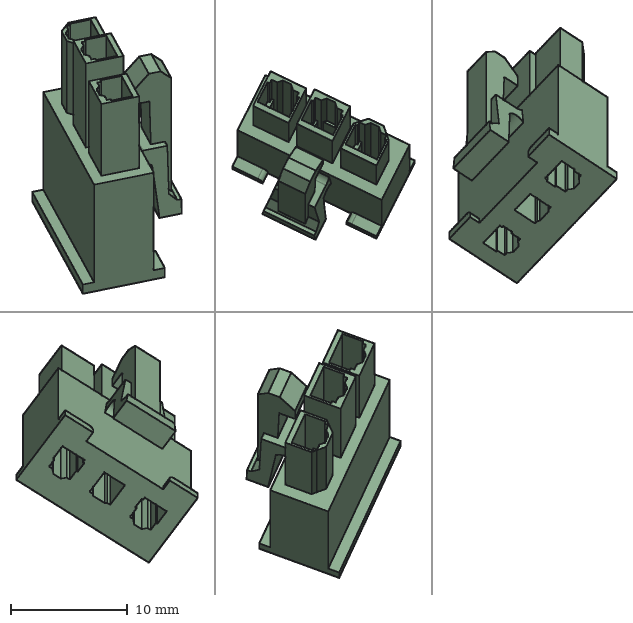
import cadquery as cq

WIDTH = 13.8
HEIGHT = 20.6

BODY_DEPTH = 5.4
BODY_TOP = 11.54
FLANGE_OVERHANG = 1.0
FLANGE_HEIGHT = 1.0
FLANGE_DEPTH = BODY_DEPTH + 2 * FLANGE_OVERHANG
FLANGE_GAP_WIDTH = 8.0
FLANGE_END_RADIUS = 0.5
BODY_BACK = BODY_DEPTH / 2

PITCH = 4.2
TOWER_SIDE = 3.4
SIDE_TOWER_TOP = 19.28
KEY_CHAMFER = 0.97

CAVITY_HALF_WIDTH = 1.5
CAVITY_BACK = 1.2
CAVITY_STEP_HALF_WIDTH = 1.3
CAVITY_STEP_Y = -0.72
CAVITY_FRONT = -1.07
GROOVE_HALF_WIDTH = 0.76
GROOVE_DEPTH = 0.37
CAVITY_FLOOR = BODY_TOP

PASSAGE_HALF_WIDTH = 1.07
PASSAGE_BACK = 1.15
MIDDLE_GROOVE_DEPTH = 0.15
RELIEF_HALF_WIDTH = 1.22
OUTER_RELIEF_FRONT = -0.29
INNER_RELIEF_FRONT = -0.08
INNER_RELIEF_BACK = 0.89

TAB_BACK = 6.7
TAB_BOTTOM = 3.0
TAB_TOP = 4.47
TAB_SLOPE_BACK = 6.32
TAB_FRONT = 4.65
TAB_FRONT_TOP = 3.3
ARM_BACK = 5.58
ARM_SLOPE_TOP = 5.25
ARM_TOP = 10.14
ARM_TOP_HALF_WIDTH = 1.92
ARM_BOTTOM_HALF_WIDTH = 2.55
BRIDGE_FLARE_LENGTH = 0.68
BRIDGE_FLARE_HEIGHT = 0.37
BRIDGE_FLARE_RADIUS = 0.8
ARCH_SPAN = 1.48
ARCH_RISE = 0.47
ARCH_TOP = 8.8

TONGUE_WIDTH = 2.6
TONGUE_BACK = 6.15
TONGUE_TOP = 17.8
TONGUE_BACK_CHAMFER = 0.97
TONGUE_LOWER_FRONT = 4.3
TONGUE_UPPER_FRONT = 4.18
HOOK_TOP_FRONT = 4.12
HOOK_SLOPE_BOTTOM = 16.27
HOOK_BOTTOM = 14.81
HOOK_CORNER_RADIUS = 0.12


def block(width, depth, bottom, top):
    """Box centred on the Z axis between two heights."""
    return cq.Workplane("XY").workplane(offset=bottom).rect(width, depth).extrude(top - bottom)


def prism(points, bottom, top):
    """Vertical prism over a closed XY outline."""
    return cq.Workplane("XY").workplane(offset=bottom).polyline(points).close().extrude(top - bottom)


def base_and_body():
    body = block(WIDTH, BODY_DEPTH, 0, BODY_TOP)
    flange = block(WIDTH, FLANGE_DEPTH, 0, FLANGE_HEIGHT)
    inner = FLANGE_GAP_WIDTH / 2
    shoulder = inner + FLANGE_END_RADIUS
    drop = FLANGE_HEIGHT - FLANGE_END_RADIUS
    gap = (
        cq.Workplane("XZ", origin=(0, FLANGE_DEPTH / 2, 0))
        .moveTo(-inner, 0)
        .lineTo(-inner, drop)
        .radiusArc((-shoulder, FLANGE_HEIGHT), -FLANGE_END_RADIUS)
        .lineTo(shoulder, FLANGE_HEIGHT)
        .radiusArc((inner, drop), -FLANGE_END_RADIUS)
        .lineTo(inner, 0)
        .close()
        .extrude(FLANGE_OVERHANG)
    )
    return body.union(flange.cut(gap))


def tower(top):
    return block(TOWER_SIDE, TOWER_SIDE, BODY_TOP, top)


def groove_points(depth):
    """Front wall of an opening, left to right, with its 45-degree-sided groove."""
    bottom_half_width = GROOVE_HALF_WIDTH - depth
    return [
        (-GROOVE_HALF_WIDTH, CAVITY_FRONT),
        (-bottom_half_width, CAVITY_FRONT - depth),
        (bottom_half_width, CAVITY_FRONT - depth),
        (GROOVE_HALF_WIDTH, CAVITY_FRONT),
    ]


def cavity():
    outline = [
        (-CAVITY_HALF_WIDTH, CAVITY_BACK),
        (-CAVITY_HALF_WIDTH, CAVITY_STEP_Y),
        (-CAVITY_STEP_HALF_WIDTH, CAVITY_STEP_Y),
        (-CAVITY_STEP_HALF_WIDTH, CAVITY_FRONT),
        *groove_points(GROOVE_DEPTH),
        (CAVITY_STEP_HALF_WIDTH, CAVITY_FRONT),
        (CAVITY_STEP_HALF_WIDTH, CAVITY_STEP_Y),
        (CAVITY_HALF_WIDTH, CAVITY_STEP_Y),
        (CAVITY_HALF_WIDTH, CAVITY_BACK),
    ]
    return prism(outline, CAVITY_FLOOR, HEIGHT)


def middle_passage():
    outline = [
        (-PASSAGE_HALF_WIDTH, PASSAGE_BACK),
        (-PASSAGE_HALF_WIDTH, CAVITY_FRONT),
        *groove_points(MIDDLE_GROOVE_DEPTH),
        (PASSAGE_HALF_WIDTH, CAVITY_FRONT),
        (PASSAGE_HALF_WIDTH, PASSAGE_BACK),
    ]
    return prism(outline, 0, CAVITY_FLOOR)


def left_passage():
    """Passage of the left tower, relieved on its outer (-X) and inner (+X) walls."""
    outline = [
        (-RELIEF_HALF_WIDTH, PASSAGE_BACK),
        (-RELIEF_HALF_WIDTH, OUTER_RELIEF_FRONT),
        (-PASSAGE_HALF_WIDTH, OUTER_RELIEF_FRONT),
        (-PASSAGE_HALF_WIDTH, CAVITY_FRONT),
        *groove_points(GROOVE_DEPTH),
        (PASSAGE_HALF_WIDTH, CAVITY_FRONT),
        (PASSAGE_HALF_WIDTH, INNER_RELIEF_FRONT),
        (RELIEF_HALF_WIDTH, INNER_RELIEF_FRONT),
        (RELIEF_HALF_WIDTH, INNER_RELIEF_BACK),
        (PASSAGE_HALF_WIDTH, INNER_RELIEF_BACK),
        (PASSAGE_HALF_WIDTH, PASSAGE_BACK),
    ]
    return prism(outline, 0, CAVITY_FLOOR)


def latch_arm():
    flare_top = ARM_TOP + BRIDGE_FLARE_HEIGHT
    arch_foot = ARCH_TOP - ARCH_RISE
    profile = (
        cq.Workplane("YZ", origin=(-ARM_BOTTOM_HALF_WIDTH, 0, 0))
        .moveTo(TAB_FRONT, TAB_BOTTOM)
        .lineTo(TAB_BACK, TAB_BOTTOM)
        .lineTo(TAB_BACK, TAB_TOP)
        .lineTo(TAB_SLOPE_BACK, TAB_TOP)
        .lineTo(ARM_BACK, ARM_SLOPE_TOP)
        .lineTo(ARM_BACK, ARM_TOP)
        .lineTo(BODY_BACK + BRIDGE_FLARE_LENGTH, ARM_TOP)
        .radiusArc((BODY_BACK, flare_top), BRIDGE_FLARE_RADIUS)
        .lineTo(BODY_BACK, arch_foot)
        .threePointArc((BODY_BACK + ARCH_SPAN / 2, ARCH_TOP), (BODY_BACK + ARCH_SPAN, arch_foot))
        .lineTo(TAB_FRONT, TAB_FRONT_TOP)
        .close()
        .extrude(2 * ARM_BOTTOM_HALF_WIDTH)
    )
    side_lean = (ARM_BOTTOM_HALF_WIDTH - ARM_TOP_HALF_WIDTH) / (ARM_TOP - TAB_BOTTOM)
    flare_half_width = ARM_TOP_HALF_WIDTH - side_lean * BRIDGE_FLARE_HEIGHT
    taper = (
        cq.Workplane("XZ", origin=(0, TAB_BACK, 0))
        .moveTo(-ARM_BOTTOM_HALF_WIDTH, TAB_BOTTOM)
        .lineTo(ARM_BOTTOM_HALF_WIDTH, TAB_BOTTOM)
        .lineTo(flare_half_width, flare_top)
        .lineTo(-flare_half_width, flare_top)
        .close()
        .extrude(TAB_BACK - BODY_BACK)
    )
    return profile.intersect(taper)


def latch_tongue():
    return (
        cq.Workplane("YZ", origin=(-TONGUE_WIDTH / 2, 0, 0))
        .moveTo(TONGUE_BACK, TAB_TOP)
        .lineTo(TONGUE_BACK, TONGUE_TOP - TONGUE_BACK_CHAMFER)
        .lineTo(TONGUE_BACK - TONGUE_BACK_CHAMFER, TONGUE_TOP)
        .lineTo(HOOK_TOP_FRONT, TONGUE_TOP)
        .lineTo(BODY_BACK, HOOK_SLOPE_BOTTOM)
        .lineTo(BODY_BACK, HOOK_BOTTOM)
        .lineTo(TONGUE_UPPER_FRONT - HOOK_CORNER_RADIUS, HOOK_BOTTOM)
        .radiusArc((TONGUE_UPPER_FRONT, HOOK_BOTTOM - HOOK_CORNER_RADIUS), HOOK_CORNER_RADIUS)
        .lineTo(TONGUE_LOWER_FRONT, ARM_TOP)
        .lineTo(ARM_BACK, ARM_TOP)
        .lineTo(ARM_BACK, TAB_TOP)
        .close()
        .extrude(TONGUE_WIDTH)
    )


left_tower = tower(SIDE_TOWER_TOP).faces("<Y").edges("|Z").chamfer(KEY_CHAMFER)
left_tower = left_tower.translate((-PITCH, 0, 0))
right_tower = tower(SIDE_TOWER_TOP).translate((PITCH, 0, 0))

result = base_and_body().union(left_tower).union(tower(HEIGHT)).union(right_tower)
result = result.union(latch_arm()).union(latch_tongue())

for x in (-PITCH, 0, PITCH):
    result = result.cut(cavity().translate((x, 0, 0)))

side_passage = left_passage().translate((-PITCH, 0, 0))
result = result.cut(middle_passage()).cut(side_passage).cut(side_passage.mirror("YZ"))